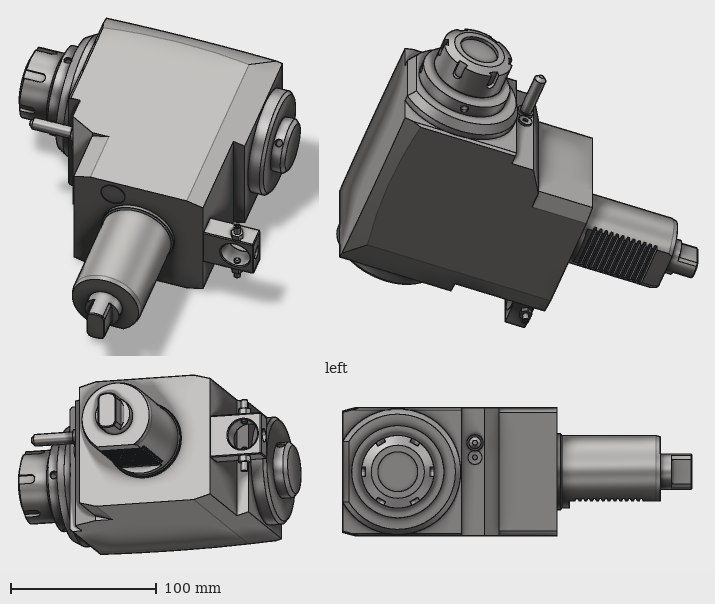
import cadquery as cq
import math


HEIGHT = 88.0
HALF_HEIGHT = HEIGHT / 2
FOOT_HALF_WIDTH = 46.8
STEP_TOP_Y = 39.8
SLOPE_TOP_Y = 50.0
HEAD_BOTTOM_Y = 65.8
BACK_Y = 147.4
NECK_LEFT_X = -64.3
HEAD_LEFT_X = -72.7
HEAD_RIGHT_X = 55.0
BEVEL_ANGLE = 15
RIGHT_BEVEL_X = 35.0
FOOT_BEVEL_WIDTH = 12.0
HEAD_CHAMFER = 1.7
BACK_ARC_CENTER_X = -20.5
BACK_ARC_CREST_Y = 139.0
BACK_ARC_RADIUS = 348
BACK_BEVEL_CUT_DEPTH = 7.2
PLUG_X = -18.5
PLUG_Z = 32.0
PLUG_RADIUS = 8.6
PLUG_DEPTH = 0.5

SPINDLE_Y = 109.5
FLANGE_LEFT_X = -83.3
FLANGE_RADIUS = 43.2
FLANGE_FRONT_RADIUS = 39.5
FLANGE_CHAMFER_LENGTH = 6.2
FLANGE_FLAT_REAR = BACK_Y - SPINDLE_Y
FLANGE_FLAT_FRONT = 33.5
DISC_LEFT_X = -92.2
DISC_RADIUS = 31.7
DISC_HOLE_X = -87.8
DISC_HOLE_RADIUS = 2.6
DISC_HOLE_DEPTH = 4.8
NECK_RADIUS = 20.6
NUT_RIGHT_X = -94.0
NUT_LEFT_X = -117.0
NUT_RADIUS = 25.0
NUT_FACE_RADIUS = 18.2
NUT_BEVEL_LENGTH = 2.6
NUT_REAR_CHAMFER = 1.0
NUT_BORE_RADIUS = 13.7
NUT_BORE_DEPTH = 2.5
SLOT_COUNT = 6
SLOT_WIDTH = 6.2
LONG_SLOT_END_X = -100.0
SHORT_SLOT_END_X = -103.5
LONG_SLOTS = (1, 2)
SLOT_FLOOR_RADIUS = 22.0
REAR_COVER_RADIUS = 37.0
REAR_COVER_X = 65.5
REAR_COVER_CHAMFER = 2.2
REAR_HUB_RADIUS = 19.2
REAR_HUB_X = 75.0
REAR_HUB_CHAMFER = 2.6
HUB_HOLE_X = 69.0
HUB_HOLE_RADIUS = 2.6
HUB_HOLE_DEPTH = 4.8
HUB_HOLE_ANGLE = 130

COLLAR_DIAMETER = 52.5
COLLAR_RADIUS = COLLAR_DIAMETER / 2
COLLAR_LENGTH = 2.5
SHANK_RADIUS = 25.0
SHANK_END_Y = -71.0
SHANK_ROOT_CONE = 1.0
SHANK_CHAMFER_RADIAL = 1.0
SHANK_CHAMFER_LENGTH = 3.0
FLAT_START_Y = -8.5
FLAT_Z = -20.2
TOOTH_GAP_COUNT = 12
FIRST_GAP_Y = -13.7
LAST_GAP_Y = -57.8
TOOTH_PITCH = (FIRST_GAP_Y - LAST_GAP_Y) / (TOOTH_GAP_COUNT - 1)
TOOTH_GAP_DEPTH = 1.7
TOOTH_GAP_WIDE = 3.0
TOOTH_GAP_NARROW = 1.2
DRIVE_RADIUS = 12.2
TANG_START_Y = -78.5
TANG_END_Y = -92.6
TANG_THICKNESS = 13.0
TANG_CHAMFER = 0.7
TANG_FACE_HALF_HEIGHT = 8.5
TANG_TOP_HALF_WIDTH = 4.5
TANG_ROOT_FILLET = 1.2

NOZZLE_Y = 56.5
NOZZLE_Z = 20.0
NOZZLE_RADIUS = 4.0
NOZZLE_TIP_X = -97.2
NOZZLE_TIP_CHAMFER = 2.5
NOZZLE_COLLAR_RADIUS = 5.5
NOZZLE_COLLAR_LENGTH = 2.5
SCREW_Z = 9.8
SCREW_RADIUS = 4.8
SCREW_HEIGHT = 1.5
SCREW_SOCKET_RADIUS = 1.7

BLOCK_RIGHT_X = 83.0
BLOCK_FRONT_Y = 1.0
BLOCK_BACK_Y = 15.5
BLOCK_HALF_HEIGHT = 14.6
BLOCK_CHAMFER = 0.7
BLOCK_BORE_X = 69.8
BLOCK_BORE_RADIUS = 10.5
SIDE_HOLE_RADIUS = 4.5
SET_SCREW_Y = 5.3
SET_SCREW_RADIUS = 2.2
SET_SCREW_TIP_CHAMFER = 1.0
SET_SCREW_INNER_Z = 8.5
SET_SCREW_OUTER_Z = 25.0
SET_NUT_ACROSS_CORNERS = 8.6
SET_NUT_TOP_Z = 18.7
SET_SCREW_SOCKET_RADIUS = 1.2
SET_SCREW_SOCKET_DEPTH = 1.2

OVERLAP = 2.5
FAR = 240
SELECTION_MARGIN = 0.2
BEVEL_SLOPE = math.tan(math.radians(BEVEL_ANGLE))


def rod_x(x_start, x_end, y, z, radius):
    """Cylinder along X."""
    axis = cq.Vector(1 if x_end > x_start else -1, 0, 0)
    return cq.Workplane(cq.Solid.makeCylinder(radius, abs(x_end - x_start), cq.Vector(x_start, y, z), axis))


def rod_y(y_start, y_end, x, z, radius):
    """Cylinder along +Y."""
    return cq.Workplane(
        cq.Solid.makeCylinder(radius, y_end - y_start, cq.Vector(x, y_start, z), cq.Vector(0, 1, 0))
    )


def rod_z(z_start, z_end, x, y, radius):
    """Cylinder along +Z."""
    return cq.Workplane(cq.Solid.makeCylinder(radius, z_end - z_start, cq.Vector(x, y, z_start)))


def box(x_range, y_range, z_range):
    """Box between two limits on each axis."""
    sizes = [high - low for low, high in (x_range, y_range, z_range)]
    corner = (x_range[0], y_range[0], z_range[0])
    return cq.Workplane("XY").box(*sizes, centered=False).translate(corner)


def about_spindle(shape, angle):
    """Turn a shape about the spindle axis."""
    return shape.rotate((0, SPINDLE_Y, 0), (1, SPINDLE_Y, 0), angle)


def edge_bevel(x_inner, x_outer, drop, y_start, y_end):
    """Wedges that lower the top and bottom faces from x_inner to x_outer by drop."""
    reach = 2
    x_far = x_inner + (x_outer - x_inner) * reach
    wedge = (
        cq.Workplane("XZ", origin=(0, y_end, 0))
        .polyline([(x_inner, HALF_HEIGHT), (x_far, HALF_HEIGHT), (x_far, HALF_HEIGHT - drop * reach)])
        .close()
        .extrude(y_end - y_start)
    )
    return wedge.union(wedge.mirror("XY"))


def back_bevel():
    """Sloping cuts along the back edges, bounded by a shallow arc on the top and bottom faces."""
    depth = BACK_BEVEL_CUT_DEPTH
    run = depth / BEVEL_SLOPE
    half_span = FAR / 2
    end_drop = BACK_ARC_RADIUS - math.sqrt(BACK_ARC_RADIUS**2 - half_span**2)
    left = BACK_ARC_CENTER_X - half_span
    right = BACK_ARC_CENTER_X + half_span
    end_y = BACK_ARC_CREST_Y - end_drop
    outline = (
        cq.Workplane("XY", origin=(0, 0, HALF_HEIGHT))
        .moveTo(left, end_y)
        .threePointArc((BACK_ARC_CENTER_X, BACK_ARC_CREST_Y), (right, end_y))
        .lineTo(right, FAR)
        .lineTo(left, FAR)
        .close()
        .wire()
        .val()
        .translate(cq.Vector(0, run, -depth))
    )
    wedge = cq.Workplane(cq.Solid.extrudeLinear(outline, [], cq.Vector(0, -2 * run, 2 * depth)))
    return wedge.union(wedge.mirror("XY"))


def make_housing():
    body = (
        cq.Workplane("XY", origin=(0, 0, -HALF_HEIGHT))
        .polyline([
            (-FOOT_HALF_WIDTH, 0),
            (FOOT_HALF_WIDTH, 0),
            (FOOT_HALF_WIDTH, HEAD_BOTTOM_Y),
            (HEAD_RIGHT_X, HEAD_BOTTOM_Y),
            (HEAD_RIGHT_X, BACK_Y),
            (HEAD_LEFT_X, BACK_Y),
            (HEAD_LEFT_X, HEAD_BOTTOM_Y),
            (NECK_LEFT_X, HEAD_BOTTOM_Y),
            (NECK_LEFT_X, SLOPE_TOP_Y),
            (-FOOT_HALF_WIDTH, STEP_TOP_Y),
        ])
        .close()
        .extrude(HEIGHT)
    )
    right_drop = (HEAD_RIGHT_X - RIGHT_BEVEL_X) * BEVEL_SLOPE
    foot_inner_x = -FOOT_HALF_WIDTH + FOOT_BEVEL_WIDTH
    body = body.cut(edge_bevel(RIGHT_BEVEL_X, HEAD_RIGHT_X, right_drop, 0, BACK_Y))
    foot_bevel = edge_bevel(foot_inner_x, -FOOT_HALF_WIDTH, FOOT_BEVEL_WIDTH * BEVEL_SLOPE, 0, STEP_TOP_Y)
    body = body.cut(foot_bevel)
    head_bevel = edge_bevel(HEAD_LEFT_X + HEAD_CHAMFER, HEAD_LEFT_X, HEAD_CHAMFER, HEAD_BOTTOM_Y, BACK_Y)
    body = body.cut(head_bevel)
    body = body.cut(back_bevel())
    return body.cut(rod_y(0, PLUG_DEPTH, PLUG_X, PLUG_Z, PLUG_RADIUS))


def turned_on_spindle(points):
    """Solid of revolution about the spindle axis from (x, radius) points."""
    outline = [(x, SPINDLE_Y + radius) for x, radius in points]
    return cq.Workplane("XY").polyline(outline).close().revolve(360, (0, SPINDLE_Y), (1, SPINDLE_Y))


def make_flange():
    rear_x = FLANGE_LEFT_X + FLANGE_CHAMFER_LENGTH
    flange = turned_on_spindle([
        (HEAD_LEFT_X + OVERLAP, 0),
        (HEAD_LEFT_X + OVERLAP, DISC_RADIUS),
        (HEAD_LEFT_X, DISC_RADIUS),
        (HEAD_LEFT_X, FLANGE_RADIUS),
        (rear_x, FLANGE_RADIUS),
        (FLANGE_LEFT_X, FLANGE_FRONT_RADIUS),
        (FLANGE_LEFT_X, 0),
    ])
    flat = (
        cq.Workplane("XY", origin=(0, SPINDLE_Y, -FAR / 2))
        .polyline([
            (HEAD_LEFT_X, FLANGE_FLAT_REAR),
            (rear_x, FLANGE_FLAT_REAR),
            (FLANGE_LEFT_X, FLANGE_FLAT_FRONT),
            (FLANGE_LEFT_X, FLANGE_RADIUS + OVERLAP),
            (HEAD_LEFT_X, FLANGE_RADIUS + OVERLAP),
        ])
        .close()
        .extrude(FAR)
    )
    return flange.cut(flat)


def make_disc():
    disc = rod_x(FLANGE_LEFT_X, DISC_LEFT_X, SPINDLE_Y, 0, DISC_RADIUS)
    floor_z = DISC_RADIUS - DISC_HOLE_DEPTH
    hole = (
        cq.Workplane("XZ", origin=(DISC_HOLE_X, SPINDLE_Y, 0))
        .polyline([
            (0, floor_z),
            (DISC_HOLE_RADIUS, floor_z + DISC_HOLE_RADIUS),
            (DISC_HOLE_RADIUS, DISC_RADIUS + OVERLAP),
            (0, DISC_RADIUS + OVERLAP),
        ])
        .close()
        .revolve(360, (0, 0), (0, 1))
    )
    for angle in range(0, 360, 90):
        disc = disc.cut(about_spindle(hole, angle))
    return disc.union(rod_x(DISC_LEFT_X, NUT_RIGHT_X, SPINDLE_Y, 0, NECK_RADIUS))


def nut_slot(end_x):
    """Round-ended spanner slot on the +Y side of the nut."""
    half_width = SLOT_WIDTH / 2
    y_range = (SPINDLE_Y + SLOT_FLOOR_RADIUS, SPINDLE_Y + NUT_RADIUS + OVERLAP)
    round_x = end_x - half_width
    slot = box((NUT_LEFT_X - OVERLAP, round_x), y_range, (-half_width, half_width))
    return slot.union(rod_y(*y_range, round_x, 0, half_width))


def make_nut():
    nut = turned_on_spindle([
        (NUT_RIGHT_X, 0),
        (NUT_RIGHT_X, NUT_RADIUS - NUT_REAR_CHAMFER),
        (NUT_RIGHT_X - NUT_REAR_CHAMFER, NUT_RADIUS),
        (NUT_LEFT_X + NUT_BEVEL_LENGTH, NUT_RADIUS),
        (NUT_LEFT_X, NUT_FACE_RADIUS),
        (NUT_LEFT_X, NUT_BORE_RADIUS),
        (NUT_LEFT_X + NUT_BORE_DEPTH, NUT_BORE_RADIUS),
        (NUT_LEFT_X + NUT_BORE_DEPTH, 0),
    ])
    for index in range(SLOT_COUNT):
        end_x = LONG_SLOT_END_X if index in LONG_SLOTS else SHORT_SLOT_END_X
        nut = nut.cut(about_spindle(nut_slot(end_x), index * 360 / SLOT_COUNT))
    return nut


def make_rear_end():
    cover = turned_on_spindle([
        (HEAD_RIGHT_X - OVERLAP, 0),
        (HEAD_RIGHT_X - OVERLAP, REAR_COVER_RADIUS),
        (REAR_COVER_X - REAR_COVER_CHAMFER, REAR_COVER_RADIUS),
        (REAR_COVER_X, REAR_COVER_RADIUS - REAR_COVER_CHAMFER),
        (REAR_COVER_X, REAR_HUB_RADIUS),
        (REAR_HUB_X - REAR_HUB_CHAMFER, REAR_HUB_RADIUS),
        (REAR_HUB_X, REAR_HUB_RADIUS - REAR_HUB_CHAMFER),
        (REAR_HUB_X, 0),
    ])
    hole = rod_y(
        SPINDLE_Y + REAR_HUB_RADIUS - HUB_HOLE_DEPTH,
        SPINDLE_Y + REAR_HUB_RADIUS + OVERLAP,
        HUB_HOLE_X,
        0,
        HUB_HOLE_RADIUS,
    )
    return cover.cut(about_spindle(hole, HUB_HOLE_ANGLE))


def make_shank():
    shank = (
        cq.Workplane("XY")
        .polyline([
            (0, OVERLAP),
            (COLLAR_RADIUS, OVERLAP),
            (COLLAR_RADIUS, -COLLAR_LENGTH),
            (SHANK_RADIUS + SHANK_ROOT_CONE, -COLLAR_LENGTH),
            (SHANK_RADIUS, -COLLAR_LENGTH - SHANK_ROOT_CONE),
            (SHANK_RADIUS, SHANK_END_Y + SHANK_CHAMFER_LENGTH),
            (SHANK_RADIUS - SHANK_CHAMFER_RADIAL, SHANK_END_Y),
            (0, SHANK_END_Y),
        ])
        .close()
        .revolve(360, (0, 0), (0, 1))
    )
    half_span = SHANK_RADIUS + OVERLAP
    shank = shank.cut(box((-half_span, half_span), (SHANK_END_Y, FLAT_START_Y), (-half_span, FLAT_Z)))
    for index in range(TOOTH_GAP_COUNT):
        gap_y = FIRST_GAP_Y - index * TOOTH_PITCH
        gap = (
            cq.Workplane("YZ", origin=(-half_span, 0, 0))
            .polyline([
                (gap_y - TOOTH_GAP_WIDE / 2, FLAT_Z),
                (gap_y + TOOTH_GAP_WIDE / 2, FLAT_Z),
                (gap_y + TOOTH_GAP_NARROW / 2, FLAT_Z + TOOTH_GAP_DEPTH),
                (gap_y - TOOTH_GAP_NARROW / 2, FLAT_Z + TOOTH_GAP_DEPTH),
            ])
            .close()
            .extrude(2 * half_span)
        )
        shank = shank.cut(gap)
    return shank


def make_drive_tang():
    half = TANG_THICKNESS / 2
    tang = (
        cq.Workplane("XZ", origin=(0, TANG_START_Y, 0))
        .polyline([
            (half, -TANG_FACE_HALF_HEIGHT),
            (half, TANG_FACE_HALF_HEIGHT),
            (TANG_TOP_HALF_WIDTH, DRIVE_RADIUS),
            (-TANG_TOP_HALF_WIDTH, DRIVE_RADIUS),
            (-half, TANG_FACE_HALF_HEIGHT),
            (-half, -TANG_FACE_HALF_HEIGHT),
            (-TANG_TOP_HALF_WIDTH, -DRIVE_RADIUS),
            (TANG_TOP_HALF_WIDTH, -DRIVE_RADIUS),
        ])
        .close()
        .extrude(TANG_START_Y - TANG_END_Y)
    )
    rounded = rod_y(TANG_END_Y, TANG_START_Y, 0, 0, DRIVE_RADIUS)
    tang = tang.intersect(rounded).faces("<Y").chamfer(TANG_CHAMFER)
    drive = rod_y(TANG_START_Y, SHANK_END_Y, 0, 0, DRIVE_RADIUS).union(tang)
    root_zone = cq.selectors.BoxSelector(
        (-half - SELECTION_MARGIN, TANG_START_Y - SELECTION_MARGIN, -SELECTION_MARGIN),
        (half + SELECTION_MARGIN, TANG_START_Y + SELECTION_MARGIN, SELECTION_MARGIN),
    )
    return drive.edges(root_zone).fillet(TANG_ROOT_FILLET)


def make_nozzle():
    nozzle = rod_x(NECK_LEFT_X, NOZZLE_TIP_X, NOZZLE_Y, NOZZLE_Z, NOZZLE_RADIUS)
    nozzle = nozzle.faces("<X").chamfer(NOZZLE_TIP_CHAMFER)
    collar_x = NECK_LEFT_X - NOZZLE_COLLAR_LENGTH
    return nozzle.union(rod_x(NECK_LEFT_X, collar_x, NOZZLE_Y, NOZZLE_Z, NOZZLE_COLLAR_RADIUS))


def make_plug_screw():
    face_x = NECK_LEFT_X - SCREW_HEIGHT
    screw = rod_x(NECK_LEFT_X, face_x, NOZZLE_Y, SCREW_Z, SCREW_RADIUS)
    return screw.cut(rod_x(NECK_LEFT_X, face_x, NOZZLE_Y, SCREW_Z, SCREW_SOCKET_RADIUS))


def make_set_screw():
    """Upper set screw with its hexagon nut."""
    screw = rod_z(SET_SCREW_INNER_Z, SET_SCREW_OUTER_Z, BLOCK_BORE_X, SET_SCREW_Y, SET_SCREW_RADIUS)
    screw = screw.faces("<Z").chamfer(SET_SCREW_TIP_CHAMFER)
    nut = (
        cq.Workplane("XY", origin=(BLOCK_BORE_X, SET_SCREW_Y, BLOCK_HALF_HEIGHT))
        .polygon(6, SET_NUT_ACROSS_CORNERS)
        .extrude(SET_NUT_TOP_Z - BLOCK_HALF_HEIGHT)
    )
    socket_floor_z = SET_SCREW_OUTER_Z - SET_SCREW_SOCKET_DEPTH
    socket = rod_z(socket_floor_z, SET_SCREW_OUTER_Z, BLOCK_BORE_X, SET_SCREW_Y, SET_SCREW_SOCKET_RADIUS)
    return screw.union(nut).cut(socket)


def make_clamp_block():
    block = box(
        (FOOT_HALF_WIDTH - OVERLAP, BLOCK_RIGHT_X),
        (BLOCK_FRONT_Y, BLOCK_BACK_Y),
        (-BLOCK_HALF_HEIGHT, BLOCK_HALF_HEIGHT),
    )
    block = block.cut(rod_y(BLOCK_FRONT_Y, BLOCK_BACK_Y, BLOCK_BORE_X, 0, BLOCK_BORE_RADIUS))
    block = block.faces(">X or <Y").edges().chamfer(BLOCK_CHAMFER)
    middle_y = (BLOCK_FRONT_Y + BLOCK_BACK_Y) / 2
    block = block.cut(rod_x(BLOCK_BORE_X, BLOCK_RIGHT_X, middle_y, 0, SIDE_HOLE_RADIUS))
    set_screw = make_set_screw()
    return block.union(set_screw).union(set_screw.mirror("XY"))


result = make_housing()
for feature in (
    make_flange(),
    make_disc(),
    make_nut(),
    make_rear_end(),
    make_shank(),
    make_drive_tang(),
    make_nozzle(),
    make_plug_screw(),
    make_clamp_block(),
):
    result = result.union(feature)